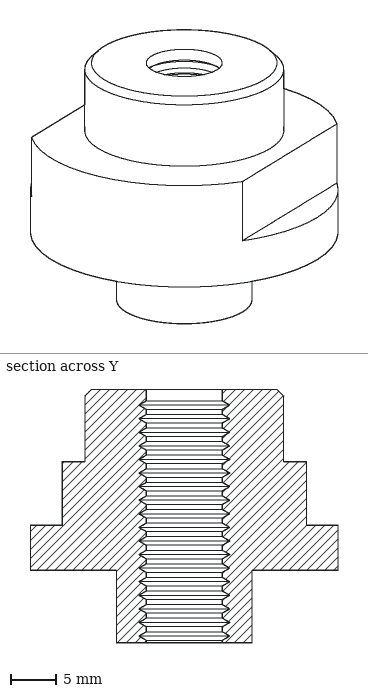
import cadquery as cq
import math

spigot_diameter = 15.0
spigot_height = 8.0
flange_diameter = 34.0
flange_height = 12.0
hub_diameter = 22.0
hub_height = 8.0
hub_chamfer = 0.75

across_flats = 27.0
flat_height = 7.0

thread_major_diameter = 10.0
thread_pitch = 1.5
thread_half_angle = math.radians(30)
thread_height = thread_pitch / (2 * math.tan(thread_half_angle))
depth_to_height_ratio = 5 / 8
thread_depth = depth_to_height_ratio * thread_height
bore_radius = thread_major_diameter / 2 - thread_depth
groove_half_width = thread_depth * math.tan(thread_half_angle)
top_land = 1.28

flange_top = spigot_height + flange_height
total_height = flange_top + hub_height
first_groove_z = total_height - top_land - groove_half_width
groove_count = int((first_groove_z - groove_half_width) / thread_pitch) + 1


def make_body():
    """Spigot, flange and chamfered hub on one vertical axis."""
    spigot = cq.Workplane("XY").circle(spigot_diameter / 2).extrude(spigot_height)
    flange = (
        cq.Workplane("XY", origin=(0, 0, spigot_height))
        .circle(flange_diameter / 2)
        .extrude(flange_height)
    )
    hub = (
        cq.Workplane("XY", origin=(0, 0, flange_top))
        .circle(hub_diameter / 2)
        .extrude(hub_height)
        .faces(">Z")
        .chamfer(hub_chamfer)
    )
    return spigot.union(flange).union(hub)


def cut_wrench_flats(body):
    """Remove the flange rim beyond the flats on the -X and +X sides."""
    flat_depth = (flange_diameter - across_flats) / 2
    for side in (-1, 1):
        cutter = cq.Workplane("XY").box(flat_depth, flange_diameter, flat_height).translate(
            (side * (across_flats + flat_depth) / 2, 0, flange_top - flat_height / 2)
        )
        body = body.cut(cutter)
    return body


def make_thread_groove(z):
    """Ring with a V-shaped section, centred at height z, reaching into the bore."""
    return (
        cq.Workplane("XZ")
        .moveTo(0, z - groove_half_width)
        .lineTo(bore_radius, z - groove_half_width)
        .lineTo(thread_major_diameter / 2, z)
        .lineTo(bore_radius, z + groove_half_width)
        .lineTo(0, z + groove_half_width)
        .close()
        .revolve(360, (0, 0, 0), (0, 1, 0))
    )


def cut_threaded_bore(body):
    """Cut the through bore and the row of thread grooves along it."""
    cutter = cq.Workplane("XY").circle(bore_radius).extrude(total_height)
    for index in range(groove_count):
        cutter = cutter.union(make_thread_groove(first_groove_z - index * thread_pitch))
    return body.cut(cutter)


result = cut_threaded_bore(cut_wrench_flats(make_body()))